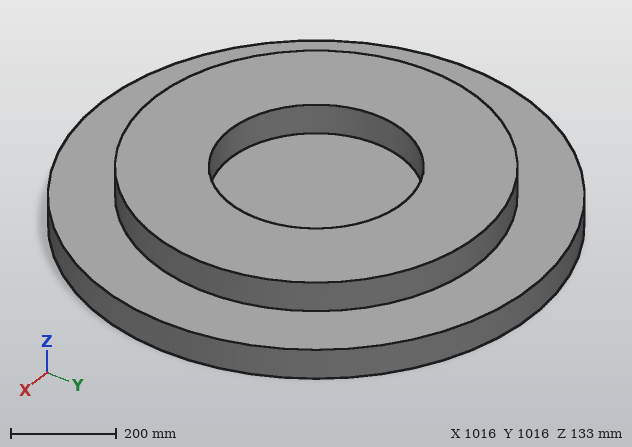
import cadquery as cq

base_diameter = 1016.0
total_height = 133.0

base_thickness = 67.0
raised_diameter = 762.0
recess_diameter = 406.0
raised_height = total_height - base_thickness

base = cq.Workplane("XY").circle(base_diameter / 2).extrude(base_thickness)

raised_ring = (
    cq.Workplane("XY")
    .workplane(offset=base_thickness)
    .circle(raised_diameter / 2)
    .circle(recess_diameter / 2)
    .extrude(raised_height)
)

result = base.union(raised_ring)